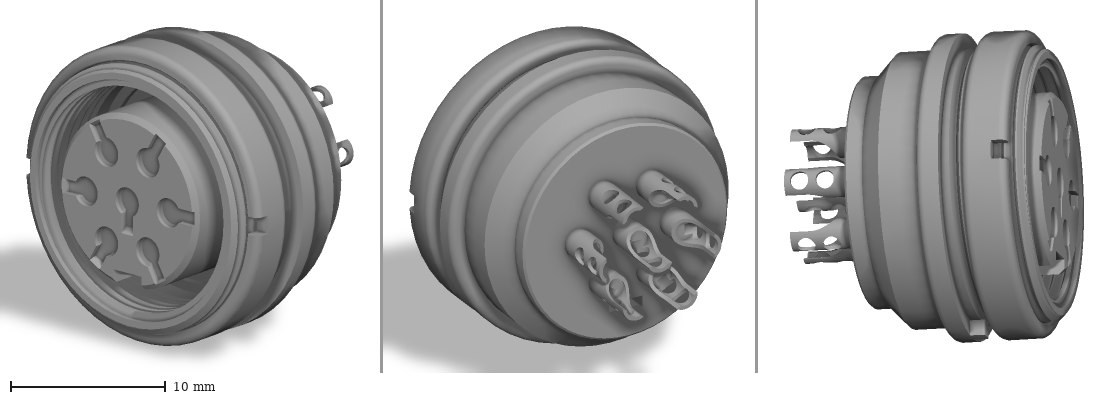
import cadquery as cq
import math


overall_length = 17.3
body_dia = 18.0
neck_dia = 15.1
neck_chamfer = 0.15
shell_front = 0.35
body_rear = 12.65
cone_start = 10.05
cone_end = 11.45
shell_chamfer = 0.45

flange_dia = 20.0
flange_front = 5.85
flange_thickness = 1.5
flange_fillet = 0.45
key_width = 1.2
key_height = 1.05
key_length = 1.0
key_fillet = 0.2

ring_dia = 20.0
ring_front = 1.35
ring_length = 3.0
ring_fillet = 0.5
ring_mouth_dia = 18.3
notch_width = 1.24
notch_depth = 1.0

outer_pitch = 0.75
outer_thread_depth = 0.44
front_run_start = -0.6
front_run_turns = 4.25
rear_run_turns = 2
rear_run_start = front_run_start + 6 * outer_pitch
outer_thread_runs = ((front_run_start, front_run_turns), (rear_run_start, rear_run_turns))
inner_pitch = 0.75
inner_major_dia = 16.2
inner_minor_dia = 15.2
inner_thread_turns = 5.5
inner_thread_start = 0.7
inner_thread_angle = 90
thread_root_fraction = 0.15
thread_mouth_fraction = 0.85
cutter_overlap = 0.04

cavity_floor = 6.2
recess_dia = 13.9
recess_depth = 0.5
lead_in_depth = 0.35
insert_dia = 11.8
insert_chamfer = 0.35
keyway_width = 2.48
keyway_top = -4.8
keyway_bottom = -5.4
keyway_corner = 0.36

contact_circle_radius = 3.5
outer_contact_count = 6
socket_dia = 2.0
socket_bottom_dia = 1.74
socket_depth = 0.5
socket_chamfer = (socket_dia - socket_bottom_dia) / 2
slot_width = 1.0
slot_reach = 2.2
slot_ramp = 0.34

cup_dia = 2.0
cup_bore_dia = 1.5
cup_bore_depth = 3.15
cup_opening_offset = 0.48
cup_straight_length = 1.36
cup_arc_radius = 1.75
cup_hole_dia = 1.2
cup_hole_setbacks = (1.0, 2.7)


def revolve_about_y(points):
    """Solid of revolution about Y from (radius, y) points."""
    return cq.Workplane("XY").polyline(points).close().revolve(360, (0, 0, 0), (0, 1, 0))


def cylinder_y(dia, y_start, y_end):
    return cq.Workplane("XZ", origin=(0, y_start, 0)).circle(dia / 2).extrude(y_start - y_end)


def block(x_min, x_max, y_min, y_max, z_min, z_max):
    size = (x_max - x_min, y_max - y_min, z_max - z_min)
    return cq.Workplane("XY").box(*size, centered=False).translate((x_min, y_min, z_min))


def thread_cutter(mouth_radius, root_radius, pitch, turns, y_start, turn_angle):
    """Right-handed helical groove cutter, starting at turn_angle about Y from +X."""
    outward = math.copysign(1, root_radius - mouth_radius)
    half_mouth = pitch * thread_mouth_fraction / 2
    half_root = pitch * thread_root_fraction / 2
    flank_slope = (half_mouth - half_root) / abs(root_radius - mouth_radius)
    half_open = half_mouth + flank_slope * cutter_overlap
    open_radius = mouth_radius - outward * cutter_overlap
    path = cq.Wire.makeHelix(pitch, pitch * turns, mouth_radius)
    profile = [
        (open_radius, -half_open),
        (root_radius, -half_root),
        (root_radius, half_root),
        (open_radius, half_open),
    ]
    cutter = cq.Workplane("XZ").polyline(profile).close().sweep(cq.Workplane(path), isFrenet=True)
    cutter = cutter.rotate((0, 0, 0), (1, 0, 0), -90).translate((0, y_start, 0))
    return cutter.rotate((0, 0, 0), (0, 1, 0), turn_angle)


def make_sleeve():
    """Tube in front of the flange with its ring nut, threaded inside and outside."""
    outer_r = body_dia / 2
    inner_r = inner_minor_dia / 2
    lead_in_r = inner_major_dia / 2
    lead_in_floor = shell_front + lead_in_depth
    sleeve = revolve_about_y([
        (lead_in_r, shell_front),
        (outer_r - shell_chamfer, shell_front),
        (outer_r, shell_front + shell_chamfer),
        (outer_r, flange_front),
        (inner_r, flange_front),
        (inner_r, lead_in_floor),
        (lead_in_r, lead_in_floor),
    ])
    inner_thread = thread_cutter(
        inner_r, lead_in_r, inner_pitch, inner_thread_turns, inner_thread_start, inner_thread_angle
    )
    sleeve = sleeve.cut(inner_thread, clean=False).union(make_ring(), clean=False)
    for start, turns in outer_thread_runs:
        groove = thread_cutter(outer_r, outer_r - outer_thread_depth, outer_pitch, turns, start, 0)
        sleeve = sleeve.cut(groove, clean=False)
    return sleeve


def make_rear_body():
    """Flange, tapered rear body and the floor of the mating cavity."""
    body_r = body_dia / 2
    neck_r = neck_dia / 2
    rear_body = revolve_about_y([
        (0, flange_front),
        (body_r, flange_front),
        (body_r, cone_start),
        (neck_r, cone_end),
        (neck_r, body_rear - neck_chamfer),
        (neck_r - neck_chamfer, body_rear),
        (0, body_rear),
    ])
    cavity = cylinder_y(inner_minor_dia, 0, cavity_floor)
    recess = cylinder_y(recess_dia, 0, cavity_floor + recess_depth)
    return rear_body.union(make_flange()).cut(cavity).cut(recess)


def make_flange():
    """Flange collar with a key on its front face at the bottom."""
    flange_rear = flange_front + flange_thickness
    flange = cylinder_y(flange_dia, flange_front, flange_rear).faces(">Y").edges().fillet(flange_fillet)
    key_bottom = -flange_dia / 2
    key = block(
        -key_width / 2, key_width / 2, flange_front - key_length, flange_front + cutter_overlap,
        key_bottom, key_bottom + key_height,
    )
    key = key.faces("<Y").edges("|Z").fillet(key_fillet)
    key = key.intersect(cylinder_y(flange_dia, flange_front - key_length, flange_rear))
    return flange.union(key)


def make_ring():
    """Ring nut with rounded rims, countersunk bore and two spanner notches."""
    ring_rear = ring_front + ring_length
    ring = cylinder_y(ring_dia, ring_front, ring_rear).edges().fillet(ring_fillet)
    bore_r = body_dia / 2
    mouth_r = ring_mouth_dia / 2
    mouth_depth = mouth_r - bore_r
    bore = revolve_about_y([
        (0, ring_front),
        (mouth_r, ring_front),
        (bore_r, ring_front + mouth_depth),
        (bore_r, ring_rear - mouth_depth),
        (mouth_r, ring_rear),
        (0, ring_rear),
    ])
    notches = block(
        -ring_dia, ring_dia, ring_front, ring_front + notch_depth, -notch_width / 2, notch_width / 2
    )
    return ring.cut(bore).cut(notches)


def make_insert():
    """Round contact carrier standing in the cavity."""
    insert = cylinder_y(insert_dia, 0, cavity_floor + recess_depth + cutter_overlap)
    return insert.faces("<Y").edges().chamfer(insert_chamfer)


def keyway_cutter():
    """Slot open at the insert rim that continues through the body behind it."""
    half = keyway_width / 2
    open_slot = block(
        -half, half, 0, cavity_floor + recess_depth, -insert_dia / 2 - cutter_overlap, keyway_top
    )
    arc_mid = keyway_corner * (1 - math.sqrt(0.5))
    corner_z = keyway_bottom - keyway_corner
    through_slot = (
        cq.Workplane("XZ")
        .moveTo(-half, keyway_top)
        .lineTo(half, keyway_top)
        .lineTo(half, corner_z)
        .threePointArc(
            (half - arc_mid, keyway_bottom - arc_mid), (half - keyway_corner, keyway_bottom)
        )
        .lineTo(keyway_corner - half, keyway_bottom)
        .threePointArc((arc_mid - half, keyway_bottom - arc_mid), (-half, corner_z))
        .close()
        .extrude(-body_rear)
    )
    return open_slot.union(through_slot)


def socket_cutter():
    """Keyhole recess around the origin, its ramped slot pointing to +X."""
    hole = revolve_about_y([
        (0, 0),
        (socket_dia / 2, 0),
        (socket_dia / 2, socket_depth - socket_chamfer),
        (socket_bottom_dia / 2, socket_depth),
        (0, socket_depth),
    ])
    slot = (
        cq.Workplane("XY", origin=(0, 0, -slot_width / 2))
        .polyline([(0, 0), (slot_reach, 0), (slot_reach - slot_ramp, socket_depth), (0, socket_depth)])
        .close()
        .extrude(slot_width)
    )
    return hole.union(slot)


def solder_cup():
    """Solder cup around the origin, its remaining wall on the +X side."""
    cup_r = cup_dia / 2
    cup = cylinder_y(cup_dia, body_rear - cutter_overlap, overall_length)
    cup = cup.cut(cylinder_y(cup_bore_dia, overall_length - cup_bore_depth, overall_length))
    arc_start_y = overall_length - cup_straight_length
    arc_center_x = cup_opening_offset - cup_arc_radius
    arc_drop = cup_arc_radius * math.sqrt(0.5)
    opening = (
        cq.Workplane("XY", origin=(0, 0, -cup_r))
        .moveTo(cup_opening_offset, overall_length)
        .lineTo(cup_opening_offset, arc_start_y)
        .threePointArc(
            (arc_center_x + arc_drop, arc_start_y - arc_drop),
            (arc_center_x, arc_start_y - cup_arc_radius),
        )
        .lineTo(arc_center_x, overall_length)
        .close()
        .extrude(cup_dia)
    )
    cup = cup.cut(opening)
    for setback in cup_hole_setbacks:
        hole = cq.Workplane("YZ").center(overall_length - setback, 0).circle(cup_hole_dia / 2).extrude(cup_r)
        cup = cup.cut(hole)
    return cup


def at_contacts(feature):
    """Copies of a feature at the centre contact (facing -Z) and around the contact circle."""
    copies = [feature.rotate((0, 0, 0), (0, 1, 0), 90)]
    for index in range(outer_contact_count):
        angle = index * 360 / outer_contact_count
        moved = feature.translate((contact_circle_radius, 0, 0))
        copies.append(moved.rotate((0, 0, 0), (0, 1, 0), angle))
    return copies


rear_part = make_rear_body().union(make_insert()).cut(keyway_cutter())
for socket in at_contacts(socket_cutter()):
    rear_part = rear_part.cut(socket)
for cup in at_contacts(solder_cup()):
    rear_part = rear_part.union(cup)

result = rear_part.union(make_sleeve(), clean=False)